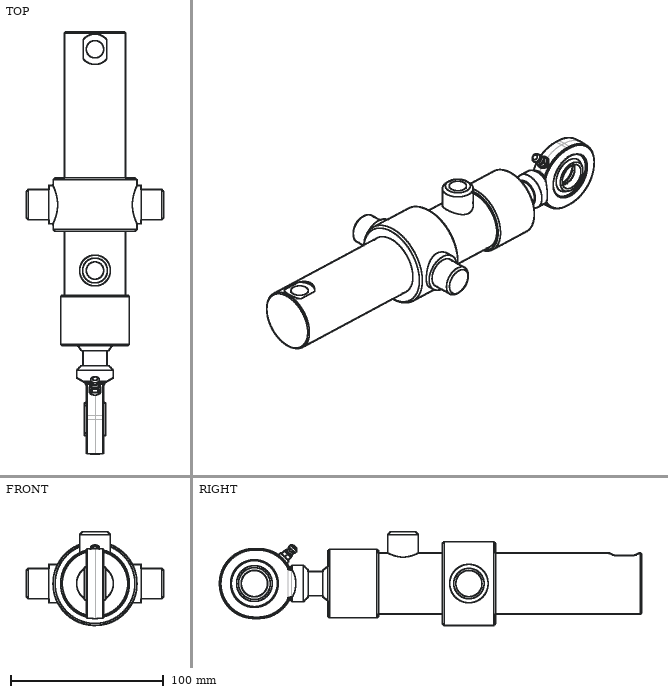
import cadquery as cq
import math

OVERALL_LENGTH = 276.0
OVERALL_WIDTH = 90.0

EYE_RADIUS = 23.0
EYE_WIDTH = 11.5
EYE_STRAIGHT = 2.5
EYE_DRAFT = 3.0
EYE_EDGE_CHAMFER = 0.7
RACE_DIAMETER = 30.0
RACE_WIDTH = 9.0
RACE_SEAT_CHAMFER = 0.5

BALL_DIAMETER = 25.0
BALL_BORE = 17.0
BALL_WIDTH = 14.0
GROOVE_WIDTH = 2.5
GROOVE_DEPTH = 0.8

NECK_DIAMETER = 24.0
NECK_FRONT = 16.5
FILLET_START = 21.8
FLARE_START = 24.0
FLARE_END = 27.0
FLARE_START_HALF_WIDTH = 7.0
NECK_REAR = 35.0
NECK_CHAMFER = 3.0
NECK_NOSE_START = 24.8
NECK_NOSE_CHAMFER = 1.0
SHANK_DIAMETER = 16.0
SHANK_CONE_LENGTH = 3.3
SHANK_CONE_FRONT_DIAMETER = 17.7
SHANK_CONE_REAR_DIAMETER = 22.5

NIPPLE_ANGLE = 45.0
NIPPLE_HEX_FLATS = 6.0
NIPPLE_ROOT = 20.0
NIPPLE_BASE_TOP = 24.5
NIPPLE_HEX_TOP = 27.3
NIPPLE_STEM_TOP = 28.5
NIPPLE_WAIST = 29.8
NIPPLE_HEAD_START = 31.2
NIPPLE_HEAD_END = 32.8
NIPPLE_TIP = 34.0
NIPPLE_BASE_DIAMETER = 7.7
NIPPLE_STEM_DIAMETER = 5.8
NIPPLE_WAIST_DIAMETER = 4.5
NIPPLE_HEAD_DIAMETER = 5.8
NIPPLE_TIP_DIAMETER = 3.3

BARREL_DIAMETER = 40.0
BARREL_CHAMFER = 0.8
BARREL_REAR = OVERALL_LENGTH - EYE_RADIUS
GLAND_DIAMETER = 45.0
GLAND_FRONT = 48.0
GLAND_LENGTH = 33.0
GLAND_CHAMFER = 1.0
COLLAR_DIAMETER = 55.0
COLLAR_CENTRE = 140.2
COLLAR_LENGTH = 35.0
COLLAR_CHAMFER = 1.5

TRUNNION_DIAMETER = 20.0
TRUNNION_CHAMFER = 1.5
SHOULDER_DIAMETER = 25.0
SHOULDER_SPAN = 60.2

PORT_HOLE_DIAMETER = 11.3
PORT_HOLE_DEPTH = 11.0
DRILL_POINT_ANGLE = 118.0
FRONT_PORT_Y = 97.2
FRONT_PORT_DIAMETER = 20.1
FRONT_PORT_CHAMFER = 2.0
FRONT_PORT_TOP = 34.0
REAR_PORT_Y = 241.8
REAR_SPOTFACE_DIAMETER = 20.0
REAR_SPOTFACE_Z = 18.5


def rod_cylinder(diameter, y_front, y_rear):
    """Cylinder on the Y axis between two places."""
    plane = cq.Workplane("XZ", origin=(0, y_front, 0))
    return plane.circle(diameter / 2).extrude(y_front - y_rear)


def cross_cylinder(diameter, width):
    """Cylinder on the X axis, centred on the origin."""
    return cq.Workplane("YZ").circle(diameter / 2).extrude(width / 2, both=True)


def drilled_hole(y, z_top):
    """Blind vertical hole with a conical drill point."""
    radius = PORT_HOLE_DIAMETER / 2
    z_bottom = z_top - PORT_HOLE_DEPTH
    z_point = z_bottom - radius / math.tan(math.radians(DRILL_POINT_ANGLE / 2))
    profile = [(0, z_top), (radius, z_top), (radius, z_bottom), (0, z_point)]
    plane = cq.Workplane("XZ", origin=(0, y, 0))
    return plane.polyline(profile).close().revolve(360, (0, 0), (0, 1))


def make_front_port():
    """Upright boss with a chamfered rim, starting inside the barrel."""
    boss = cq.Workplane("XY", origin=(0, FRONT_PORT_Y, 0)).circle(FRONT_PORT_DIAMETER / 2)
    return boss.extrude(FRONT_PORT_TOP).faces(">Z").chamfer(FRONT_PORT_CHAMFER)


def make_rear_spotface():
    """Cutter for the round flat around the rear port."""
    plane = cq.Workplane("XY", origin=(0, REAR_PORT_Y, REAR_SPOTFACE_Z))
    return plane.circle(REAR_SPOTFACE_DIAMETER / 2).extrude(BARREL_DIAMETER / 2)


def make_trunnions():
    """Both trunnion pins with their shoulders."""
    pins = cross_cylinder(TRUNNION_DIAMETER, OVERALL_WIDTH).faces("<X or >X").chamfer(TRUNNION_CHAMFER)
    shoulders = cross_cylinder(SHOULDER_DIAMETER, SHOULDER_SPAN)
    return pins.union(shoulders).translate((0, COLLAR_CENTRE, 0))


def make_housing():
    """Barrel with gland, trunnion collar and both oil ports."""
    barrel = rod_cylinder(BARREL_DIAMETER, GLAND_FRONT, BARREL_REAR).faces(">Y").chamfer(BARREL_CHAMFER)
    gland = rod_cylinder(GLAND_DIAMETER, GLAND_FRONT, GLAND_FRONT + GLAND_LENGTH)
    gland = gland.faces("<Y or >Y").chamfer(GLAND_CHAMFER)
    collar_front = COLLAR_CENTRE - COLLAR_LENGTH / 2
    collar = rod_cylinder(COLLAR_DIAMETER, collar_front, collar_front + COLLAR_LENGTH)
    collar = collar.faces("<Y or >Y").chamfer(COLLAR_CHAMFER)
    housing = barrel.union(gland).union(collar).union(make_trunnions()).union(make_front_port())
    housing = housing.cut(make_rear_spotface())
    housing = housing.cut(drilled_hole(FRONT_PORT_Y, FRONT_PORT_TOP))
    return housing.cut(drilled_hole(REAR_PORT_Y, REAR_SPOTFACE_Z))


def make_eye_plate():
    """Flat eye whose rim slopes both ways from the middle plane."""
    outline = cq.Workplane("YZ").center(EYE_STRAIGHT / 2, 0)
    outline = outline.slot2D(2 * EYE_RADIUS + EYE_STRAIGHT, 2 * EYE_RADIUS)
    half = outline.extrude(EYE_WIDTH / 2, taper=EYE_DRAFT).faces(">X").chamfer(EYE_EDGE_CHAMFER)
    return half.union(half.mirror("YZ"))


def make_shank():
    """Neck, shank and the cone that meets the gland."""
    nose_front = NECK_NOSE_START - NECK_NOSE_CHAMFER
    nose_core = rod_cylinder(NECK_DIAMETER - 2 * NECK_NOSE_CHAMFER, NECK_FRONT, NECK_NOSE_START)
    neck = rod_cylinder(NECK_DIAMETER, nose_front, NECK_REAR)
    neck = neck.faces(">Y").chamfer(NECK_CHAMFER).faces("<Y").chamfer(NECK_NOSE_CHAMFER)
    neck = neck.union(nose_core).intersect(make_flare())
    shank = rod_cylinder(SHANK_DIAMETER, FLARE_END, GLAND_FRONT)
    cone = cq.Workplane("XZ", origin=(0, GLAND_FRONT, 0)).circle(SHANK_CONE_REAR_DIAMETER / 2)
    cone = cone.workplane(offset=SHANK_CONE_LENGTH).circle(SHANK_CONE_FRONT_DIAMETER / 2).loft()
    return neck.union(shank).union(cone)


def make_flare():
    """Wedge that widens the neck from the eye faces to its full diameter."""
    half_eye = EYE_WIDTH / 2
    half_neck = NECK_DIAMETER / 2
    profile = cq.Workplane("XY", origin=(0, 0, -half_neck)).moveTo(0, NECK_FRONT)
    profile = profile.lineTo(half_eye, NECK_FRONT).lineTo(half_eye, FILLET_START)
    profile = profile.tangentArcPoint((FLARE_START_HALF_WIDTH, FLARE_START), relative=False)
    profile = profile.lineTo(half_neck, FLARE_END).lineTo(half_neck, NECK_REAR)
    half = profile.lineTo(0, NECK_REAR).close().extrude(NECK_DIAMETER)
    return half.union(half.mirror("YZ"))


def make_nipple():
    """Grease nipple pointing up and back from the eye rim."""
    tilt = math.radians(NIPPLE_ANGLE)
    axis = (0, math.cos(tilt), math.sin(tilt))
    across = (0, -axis[2], axis[1])
    plane = cq.Plane(origin=(0, EYE_STRAIGHT, 0), xDir=across, normal=axis)
    hexagon = cq.Workplane(plane).workplane(offset=NIPPLE_ROOT)
    hexagon = hexagon.polygon(6, NIPPLE_HEX_FLATS, circumscribed=True).extrude(NIPPLE_HEX_TOP - NIPPLE_ROOT)
    profile = [
        (0, NIPPLE_ROOT),
        (NIPPLE_BASE_DIAMETER / 2, NIPPLE_ROOT),
        (NIPPLE_BASE_DIAMETER / 2, NIPPLE_BASE_TOP),
        (NIPPLE_STEM_DIAMETER / 2, NIPPLE_BASE_TOP),
        (NIPPLE_STEM_DIAMETER / 2, NIPPLE_STEM_TOP),
        (NIPPLE_WAIST_DIAMETER / 2, NIPPLE_WAIST),
        (NIPPLE_HEAD_DIAMETER / 2, NIPPLE_HEAD_START),
        (NIPPLE_HEAD_DIAMETER / 2, NIPPLE_HEAD_END),
        (NIPPLE_TIP_DIAMETER / 2, NIPPLE_TIP),
        (0, NIPPLE_TIP),
    ]
    side_plane = cq.Plane(origin=(0, EYE_STRAIGHT, 0), xDir=(1, 0, 0), normal=across)
    turned_body = cq.Workplane(side_plane).polyline(profile).close().revolve(360, (0, 0), (0, 1))
    return hexagon.union(turned_body)


def make_race_seat():
    """Cutter for the hole that holds the race, widened to a chamfer at both eye faces."""
    seat = cross_cylinder(RACE_DIAMETER, EYE_WIDTH)
    cone = cq.Workplane("YZ", origin=(EYE_WIDTH / 2, 0, 0)).circle(RACE_DIAMETER / 2 + RACE_SEAT_CHAMFER)
    cone = cone.workplane(offset=-RACE_SEAT_CHAMFER).circle(RACE_DIAMETER / 2).loft()
    return seat.union(cone).union(cone.mirror("YZ"))


def make_rod():
    """Piston rod with its eye, bearing race and grease nipple."""
    rod = make_eye_plate().union(make_shank()).union(make_nipple())
    rod = rod.cut(make_race_seat())
    rod = rod.union(cross_cylinder(RACE_DIAMETER, RACE_WIDTH))
    return rod.cut(cq.Workplane("XY").sphere(BALL_DIAMETER / 2))


def make_ball():
    """Bearing ball with flat ends, a bore for the pin and a grease groove in the bore."""
    ball = cq.Workplane("XY").sphere(BALL_DIAMETER / 2)
    ball = ball.intersect(cross_cylinder(BALL_DIAMETER, BALL_WIDTH))
    groove = cross_cylinder(BALL_BORE + 2 * GROOVE_DEPTH, GROOVE_WIDTH)
    return ball.cut(cross_cylinder(BALL_BORE, BALL_WIDTH)).cut(groove)


housing = make_housing().solids()
rod = make_rod().solids()
ball = make_ball().solids()

result = cq.Compound.makeCompound([housing.val(), rod.val(), ball.val()])